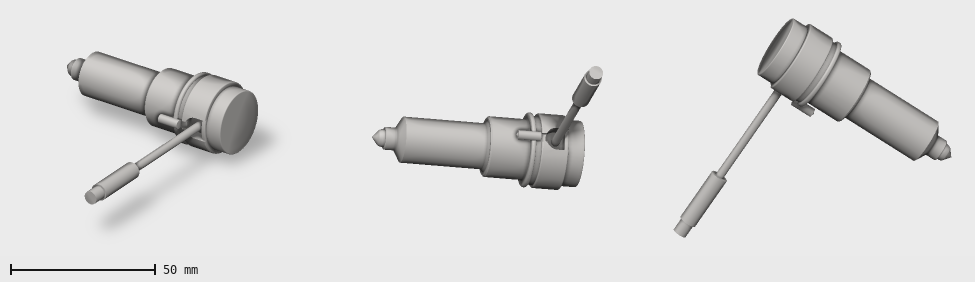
import cadquery as cq
import math


OVERALL_LENGTH_Y = 87.95

POINT_END_X = 2.2
POINT_R = 2.6
NEEDLE_ROUND_END_X = 3.6
NEEDLE_R = 3.1
NOSE_FRONT_X = 4.2
NOSE_R = 4.0
NOSE_CHAMFER = 0.3
TAPER_FRONT_X = 8.1
TAPER_ROOT_ROUND = 0.5
TAPER_END_X = 10.55

BARREL_R = 8.0
BARREL_END_X = 39.1
SHOULDER_FRONT_X = 40.0
SHOULDER_CONE_R = 8.9
SHOULDER_R = 10.55
SHOULDER_CHAMFER = 0.5

FLANGE_R = 25.95 / 2
FLANGE_FRONT_X = 53.9
FLANGE_REAR_X = 55.6
FLANGE_ROUND = 0.7
FLANGE_ROOT_ROUND = 0.4
NECK_R = 12.0
CORE_R = 12.3
COLLAR_FRONT_X = 57.5
COLLAR_REAR_X = 67.0
COLLAR_ROUND = 0.4

CABLE_X = 63.0
CABLE_R = 1.5
CABLE_SEAT_DEPTH = 1.8
SLEEVE_START_Y = -50.0
SLEEVE_LENGTH = 19.9
SLEEVE_R = 3.1
PLUG_R = 2.5
PLUG_END_Y = FLANGE_R - OVERALL_LENGTH_Y

POCKET_R = 4.05
POCKET_FLOOR_R = 8.8
POCKET_WALL_X = 65.7
POCKET_ROOT_ROUND = 1.1

CAP_R = 11.5
CAP_REAR_X = 73.0
CAP_ROUND = 0.35

PIN_TIP_X = 48.2
PIN_FRONT_X = 48.9
PIN_REAR_X = 56.8
PIN_R = 1.6
PIN_POINT_R = 1.0
PIN_Y = -13.1
KEYWAY_FLOOR_Y = PIN_Y + PIN_R


def revolved(outline):
    """Solid of revolution about the X axis."""
    return outline.close().revolve(360, (0, 0, 0), (1, 0, 0))


def disc(front_x, rear_x, radius):
    """Cylinder on the X axis."""
    return cq.Workplane("YZ", origin=(front_x, 0, 0)).circle(radius).extrude(rear_x - front_x)


def cable_rod(start_y, end_y, radius):
    """Cylinder on the cable axis, running toward -Y."""
    return cq.Workplane("XZ", origin=(CABLE_X, start_y, 0)).circle(radius).extrude(start_y - end_y)


def outer_block(front_x, rear_x, width, inner_y):
    """Block centred on Z = 0, from inner_y out past the flange on the -Y side."""
    depth = inner_y + 2 * FLANGE_R
    center = ((front_x + rear_x) / 2, inner_y - depth / 2, 0)
    return cq.Workplane("XY").box(rear_x - front_x, depth, width).translate(center)


def slot_tool(rear_x):
    """Round-nosed slot around the cable, from the housing axis out and back to rear_x."""
    round_end = cable_rod(0, -2 * FLANGE_R, POCKET_R)
    slot = round_end.union(outer_block(CABLE_X, rear_x, 2 * POCKET_R, 0))
    return slot.intersect(outer_block(COLLAR_FRONT_X, rear_x, 2 * POCKET_R, 0))



def make_nose_and_barrel():
    rise = NEEDLE_R - POINT_R
    run = NEEDLE_ROUND_END_X - POINT_END_X
    needle_round = math.hypot(run, rise) ** 2 / (2 * rise)
    body = revolved(
        cq.Workplane("XY")
        .lineTo(POINT_END_X, POINT_R)
        .radiusArc((NEEDLE_ROUND_END_X, NEEDLE_R), needle_round)
        .lineTo(NOSE_FRONT_X, NEEDLE_R)
        .lineTo(NOSE_FRONT_X, NOSE_R - NOSE_CHAMFER)
        .lineTo(NOSE_FRONT_X + NOSE_CHAMFER, NOSE_R)
        .lineTo(TAPER_FRONT_X, NOSE_R)
        .lineTo(TAPER_END_X, BARREL_R)
        .lineTo(BARREL_END_X, BARREL_R)
        .lineTo(SHOULDER_FRONT_X, SHOULDER_CONE_R)
        .lineTo(SHOULDER_FRONT_X, 0)
    )
    taper_root = cq.selectors.NearestToPointSelector((TAPER_FRONT_X, 0, 0))
    return body.edges(taper_root).fillet(TAPER_ROOT_ROUND)


def make_shoulder():
    shoulder = disc(SHOULDER_FRONT_X, FLANGE_FRONT_X, SHOULDER_R)
    shoulder = shoulder.faces("<X").edges().chamfer(SHOULDER_CHAMFER)
    root_start_x = FLANGE_FRONT_X - FLANGE_ROOT_ROUND
    root = revolved(
        cq.Workplane("XY")
        .moveTo(root_start_x, SHOULDER_R)
        .radiusArc((FLANGE_FRONT_X, SHOULDER_R + FLANGE_ROOT_ROUND), -FLANGE_ROOT_ROUND)
        .lineTo(FLANGE_FRONT_X, 0)
        .lineTo(root_start_x, 0)
    )
    return shoulder.union(root)


def make_flange():
    return disc(FLANGE_FRONT_X, FLANGE_REAR_X, FLANGE_R).edges().fillet(FLANGE_ROUND)


def make_slotted_collar():
    """Collar as wide as the flange, cut open around the cable; the core fills it again below CORE_R."""
    collar = disc(COLLAR_FRONT_X, COLLAR_REAR_X, FLANGE_R).edges().fillet(COLLAR_ROUND)
    return collar.cut(slot_tool(COLLAR_REAR_X))


def make_neck_and_core():
    core = disc(COLLAR_FRONT_X, COLLAR_REAR_X, CORE_R)
    core = core.faces(">X").edges().fillet(COLLAR_ROUND)
    return disc(FLANGE_REAR_X, COLLAR_FRONT_X, NECK_R).union(core)


def pocket_tool():
    """Slot inside the collar, ending on a round floor that curves up into the rear wall."""
    floor = revolved(
        cq.Workplane("XY")
        .moveTo(FLANGE_REAR_X, 0)
        .lineTo(FLANGE_REAR_X, POCKET_FLOOR_R)
        .lineTo(POCKET_WALL_X - POCKET_ROOT_ROUND, POCKET_FLOOR_R)
        .radiusArc((POCKET_WALL_X, POCKET_FLOOR_R + POCKET_ROOT_ROUND), -POCKET_ROOT_ROUND)
        .lineTo(POCKET_WALL_X, 0)
    )
    return slot_tool(POCKET_WALL_X).cut(floor)


def make_housing():
    housing = make_nose_and_barrel().union(make_shoulder()).union(make_flange())
    housing = housing.union(make_neck_and_core()).union(make_slotted_collar())
    housing = housing.cut(pocket_tool())
    housing = housing.cut(outer_block(FLANGE_FRONT_X, CABLE_X, 2 * PIN_R, KEYWAY_FLOOR_Y))
    return housing.cut(make_pin()).cut(make_cable())



def make_cap():
    return disc(COLLAR_REAR_X, CAP_REAR_X, CAP_R).edges().fillet(CAP_ROUND)


def make_pin():
    pin = revolved(
        cq.Workplane("XY")
        .moveTo(PIN_TIP_X, 0)
        .lineTo(PIN_FRONT_X, PIN_POINT_R)
        .lineTo(PIN_FRONT_X, PIN_R)
        .lineTo(PIN_REAR_X, PIN_R)
        .lineTo(PIN_REAR_X, 0)
    )
    return pin.translate((0, PIN_Y, 0))


def make_cable():
    return cable_rod(CABLE_SEAT_DEPTH - POCKET_FLOOR_R, SLEEVE_START_Y, CABLE_R)


def make_connector():
    sleeve_end_y = SLEEVE_START_Y - SLEEVE_LENGTH
    sleeve = cable_rod(SLEEVE_START_Y, sleeve_end_y, SLEEVE_R)
    return sleeve.union(cable_rod(sleeve_end_y, PLUG_END_Y, PLUG_R))


housing = make_housing()
cap = make_cap()
pin = make_pin()
cable = make_cable()
connector = make_connector()

result = cq.Compound.makeCompound(
    [housing.val(), cap.val(), pin.val(), cable.val(), connector.val()]
)